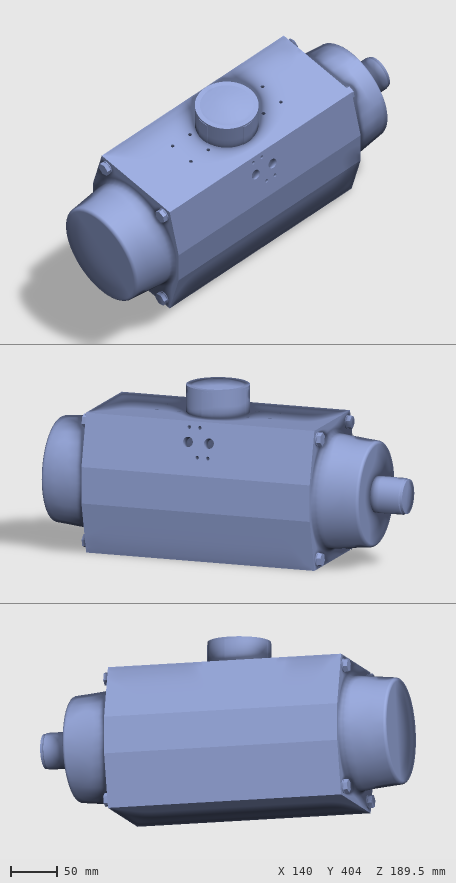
import cadquery as cq


HOUSING_WIDTH = 140.0
HOUSING_HEIGHT = 155.0
HOUSING_LENGTH = 263.5
FLAT_WIDTH = 110.7
SIDE_BAND_HEIGHT = 40.5
END_PLATE_THICKNESS = 16.0

OVERALL_LENGTH = 404.0
STOP_SHAFT_LENGTH = 38.0
COVER_LENGTH = (OVERALL_LENGTH - HOUSING_LENGTH - STOP_SHAFT_LENGTH) / 2
COVER_BASE_DIAMETER = 126.5
COVER_END_DIAMETER = 115.5
COVER_BASE_FILLET = 5.0
COVER_END_FILLET = 3.5

STOP_SHAFT_DIAMETER = 40.0
STOP_TIP_DIAMETER = 38.0
STOP_TIP_LENGTH = 4.5
STOP_DOME_HEIGHT = 1.5

OVERALL_HEIGHT = 189.5
CAP_DIAMETER = 69.0
CAP_HEIGHT = 30.5
CAP_DOME_DIAMETER = 58.0
CAP_DOME_HEIGHT = OVERALL_HEIGHT - HOUSING_HEIGHT - CAP_HEIGHT
MARKER_DIAMETER = 70.0
MARKER_WIDTH = 13.0
MARKER_HEIGHT = 28.0

BOLT_SPACING_X = 92.0
BOLT_SPACING_Z = 133.5
BOLT_HEAD_CORNERS = 15.0
BOLT_HEAD_HEIGHT = 5.0
BOLT_WASHER_DIAMETER = 15.0
BOLT_WASHER_THICKNESS = 1.2
BOLT_HEAD_TURN = 10.0

SMALL_HOLE_DIAMETER = 4.0
SMALL_HOLE_DEPTH = 8.0
TOP_HOLE_X = 15.0
TOP_HOLE_Y = (40.0, 65.0)

PORT_DIAMETER = 11.5
PORT_DEPTH = 12.0
PORT_Y = 12.0
PORT_Z = 55.5
SMALL_HOLE_RISE = 16.0

HALF_WIDTH = HOUSING_WIDTH / 2
HALF_HEIGHT = HOUSING_HEIGHT / 2
HALF_LENGTH = HOUSING_LENGTH / 2
HALF_FLAT = FLAT_WIDTH / 2
HALF_BAND = SIDE_BAND_HEIGHT / 2
OVERLAP = 4.0


def housing_block(y_start, y_end):
    """Octagonal housing section between two Y positions."""
    outline = [
        (HALF_FLAT, HALF_HEIGHT),
        (HALF_WIDTH, HALF_BAND),
        (HALF_WIDTH, -HALF_BAND),
        (HALF_FLAT, -HALF_HEIGHT),
        (-HALF_FLAT, -HALF_HEIGHT),
        (-HALF_WIDTH, -HALF_BAND),
        (-HALF_WIDTH, HALF_BAND),
        (-HALF_FLAT, HALF_HEIGHT),
    ]
    plane = cq.Plane(origin=(0, y_start, 0), xDir=(1, 0, 0), normal=(0, 1, 0))
    return cq.Workplane(plane).polyline(outline).close().extrude(y_end - y_start)


def domed_cylinder(plane, radius, height, dome_radius, dome_height):
    """Cylinder along the plane normal with a shallow dome on its end."""
    sphere_radius = (dome_radius**2 + dome_height**2) / (2 * dome_height)
    top = height + dome_height
    cylinder = cq.Workplane("XY").circle(radius).extrude(height)
    dome = (
        cq.Workplane("XZ")
        .moveTo(0, height)
        .lineTo(dome_radius, height)
        .radiusArc((0, top), -sphere_radius)
        .close()
        .revolve(360, (0, 0, 0), (0, 1, 0))
    )
    return cq.Workplane(cylinder.union(dome).val().located(cq.Location(plane)))


def hex_bolt(x, z, turn):
    """Hexagon bolt on the +Y end plate, seated on a thin washer."""
    plane = cq.Plane(origin=(x, HALF_LENGTH, z), xDir=(1, 0, 0), normal=(0, 1, 0))
    plane = plane.rotated((0, 0, 90 + turn))
    washer = (
        cq.Workplane(plane)
        .circle(BOLT_WASHER_DIAMETER / 2)
        .extrude(BOLT_WASHER_THICKNESS)
    )
    head = (
        cq.Workplane(plane)
        .polygon(6, BOLT_HEAD_CORNERS)
        .extrude(BOLT_WASHER_THICKNESS + BOLT_HEAD_HEIGHT)
    )
    return washer.union(head)


def end_assembly():
    """End plate, tapered cover and bolts of the +Y end."""
    base_radius = COVER_BASE_DIAMETER / 2
    end_radius = COVER_END_DIAMETER / 2
    cover_end = HALF_LENGTH + COVER_LENGTH
    cover = (
        cq.Workplane("XY")
        .polyline([
            (0, HALF_LENGTH),
            (base_radius, HALF_LENGTH),
            (end_radius, cover_end),
            (0, cover_end),
        ])
        .close()
        .revolve(360, (0, 0, 0), (0, 1, 0))
        .faces(">Y")
        .edges()
        .fillet(COVER_END_FILLET)
    )
    end = housing_block(HALF_LENGTH - END_PLATE_THICKNESS, HALF_LENGTH).union(cover)
    base_circle = cq.selectors.BoxSelector(
        (-HALF_WIDTH, HALF_LENGTH - COVER_BASE_FILLET, -HALF_WIDTH),
        (HALF_WIDTH, HALF_LENGTH + COVER_BASE_FILLET, HALF_WIDTH),
    )
    end = end.edges("%CIRCLE").edges(base_circle).fillet(COVER_BASE_FILLET)
    for side_x in (-1, 1):
        for side_z in (-1, 1):
            bolt = hex_bolt(
                side_x * BOLT_SPACING_X / 2,
                side_z * BOLT_SPACING_Z / 2,
                -side_x * side_z * BOLT_HEAD_TURN,
            )
            end = end.union(bolt)
    return end


def stop_shaft():
    """Stepped round shaft on the +Y cover."""
    start = HALF_LENGTH + COVER_LENGTH - OVERLAP
    full_length = STOP_SHAFT_LENGTH - STOP_TIP_LENGTH + OVERLAP
    tip_length = STOP_SHAFT_LENGTH - STOP_DOME_HEIGHT + OVERLAP
    plane = cq.Plane(origin=(0, start, 0), xDir=(1, 0, 0), normal=(0, 1, 0))
    tip_radius = STOP_TIP_DIAMETER / 2
    tip = domed_cylinder(plane, tip_radius, tip_length, tip_radius, STOP_DOME_HEIGHT)
    shaft = (
        cq.Workplane(plane)
        .circle(STOP_SHAFT_DIAMETER / 2)
        .extrude(full_length)
        .faces(">Y")
        .chamfer((STOP_SHAFT_DIAMETER - STOP_TIP_DIAMETER) / 2)
    )
    return shaft.union(tip)


def indicator_cap():
    """Domed cap on the top face with four raised markers around it."""
    plane = cq.Plane(origin=(0, 0, HALF_HEIGHT - OVERLAP))
    cap = domed_cylinder(
        plane, CAP_DIAMETER / 2, CAP_HEIGHT + OVERLAP, CAP_DOME_DIAMETER / 2, CAP_DOME_HEIGHT
    )
    marker_length = MARKER_HEIGHT + OVERLAP
    cross = (
        cq.Workplane(plane)
        .rect(MARKER_DIAMETER, MARKER_WIDTH)
        .extrude(marker_length)
        .union(cq.Workplane(plane).rect(MARKER_WIDTH, MARKER_DIAMETER).extrude(marker_length))
    )
    markers = cq.Workplane(plane).circle(MARKER_DIAMETER / 2).extrude(marker_length).intersect(cross)
    return cap.union(markers)


def top_holes():
    """Two groups of four mounting holes beside the cap."""
    points = [
        (side_x * TOP_HOLE_X, side_y * y)
        for side_x in (-1, 1)
        for side_y in (-1, 1)
        for y in TOP_HOLE_Y
    ]
    return (
        cq.Workplane("XY", origin=(0, 0, HALF_HEIGHT))
        .pushPoints(points)
        .circle(SMALL_HOLE_DIAMETER / 2)
        .extrude(-SMALL_HOLE_DEPTH)
    )


def air_connection():
    """Two ports and four small holes, square to the upper +X slope."""
    slope_run = HALF_WIDTH - HALF_FLAT
    slope_drop = HALF_HEIGHT - HALF_BAND
    port_x = HALF_FLAT + slope_run * (HALF_HEIGHT - PORT_Z) / slope_drop
    plane = cq.Plane(
        origin=(port_x, 0, PORT_Z), xDir=(0, 1, 0), normal=(slope_drop, 0, slope_run)
    )
    ports = (
        cq.Workplane(plane)
        .pushPoints([(-PORT_Y, 0), (PORT_Y, 0)])
        .circle(PORT_DIAMETER / 2)
        .extrude(-PORT_DEPTH)
    )
    small_holes = (
        cq.Workplane(plane)
        .pushPoints([
            (0, SMALL_HOLE_RISE),
            (-PORT_Y, SMALL_HOLE_RISE),
            (0, -SMALL_HOLE_RISE),
            (PORT_Y, -SMALL_HOLE_RISE),
        ])
        .circle(SMALL_HOLE_DIAMETER / 2)
        .extrude(-SMALL_HOLE_DEPTH)
    )
    return ports.union(small_holes)


inner_end = HALF_LENGTH - END_PLATE_THICKNESS
housing = housing_block(-inner_end, inner_end).union(indicator_cap())
housing = housing.cut(top_holes()).cut(air_connection())

plain_end = end_assembly()
shaft_end = plain_end.union(stop_shaft())
result = housing.union(shaft_end, clean=False).union(plain_end.mirror("XZ"), clean=False)